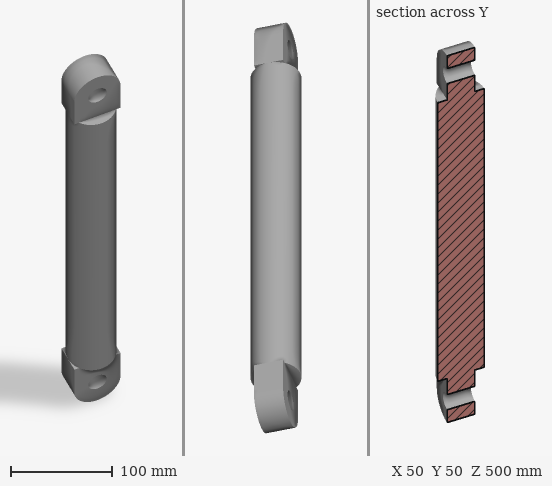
import cadquery as cq

total_length = 500.0
tube_diameter = 50.0
lug_length = 60.0
lug_thickness = 30.0
hole_diameter = 20.0
hole_from_tip = 28.0

lug_radius = tube_diameter / 2
body_half_length = total_length / 2 - lug_length
round_start = total_length / 2 - lug_radius
hole_height = total_length / 2 - hole_from_tip


def make_lug():
    """Upper lug: flat plate with a full-round end and a cross hole along X."""
    plate = (
        cq.Workplane("YZ")
        .moveTo(-lug_radius, body_half_length)
        .lineTo(-lug_radius, round_start)
        .threePointArc((0, total_length / 2), (lug_radius, round_start))
        .lineTo(lug_radius, body_half_length)
        .close()
        .extrude(lug_thickness / 2, both=True)
    )
    hole = (
        cq.Workplane("YZ")
        .center(0, hole_height)
        .circle(hole_diameter / 2)
        .extrude(lug_thickness / 2, both=True)
    )
    return plate.cut(hole)


body = (
    cq.Workplane("XY")
    .circle(tube_diameter / 2)
    .extrude(body_half_length, both=True)
)
upper_lug = make_lug()
lower_lug = upper_lug.mirror("XY")

result = body.union(upper_lug).union(lower_lug)